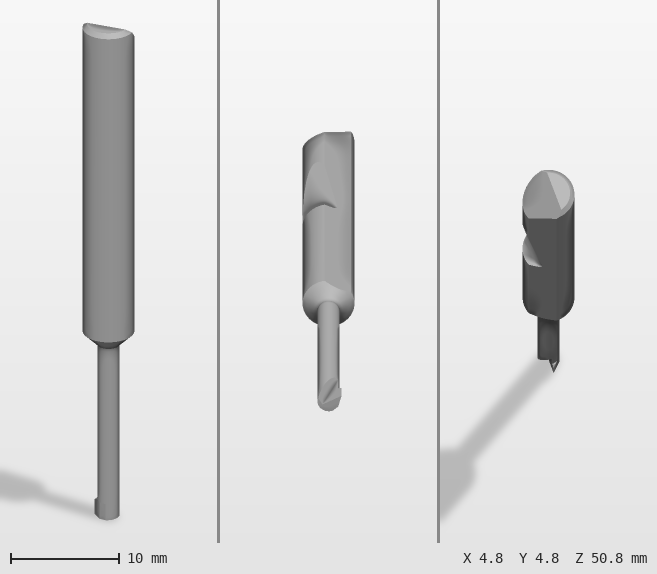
import cadquery as cq
import math

length = 50.8
shank_radius = 2.4
neck_radius = 1.0
neck_top = 17.8
cone_height = shank_radius - neck_radius
end_chamfer = 0.4

bevel_start_y = -0.55
flat_distance = 2.0
flat_angle = 144.5
notch_top = 42.55
notch_depth = 1.25
notch_length = 8.6
notch_corner_radius = 0.5

tip_reach = 1.35
tooth_height = 1.8
tooth_bevel = 0.25
relief_x = -0.55
heel_x = 0.1
gash_top = 3.4
gash_bottom_x = 0.7
end_clearance_angle = 4.0

clear = 10.15


def prism_along_x(points):
    """Solid with a YZ outline, spanning the whole width of the tool."""
    return cq.Workplane("YZ").polyline(points).close().extrude(clear, both=True)


def prism_along_z(points, height):
    return cq.Workplane("XY").polyline(points).close().extrude(height)


def neck_y(x):
    """Front (-Y) surface of the neck at a given X."""
    return -math.sqrt(neck_radius**2 - x**2)


def turned_body():
    profile = [
        (0, 0),
        (neck_radius, 0),
        (neck_radius, neck_top),
        (shank_radius, neck_top + cone_height),
        (shank_radius, length - end_chamfer),
        (shank_radius - end_chamfer, length),
        (0, length),
    ]
    return cq.Workplane("XZ").polyline(profile).close().revolve(360, (0, 0), (0, 1))


def end_bevel():
    """45 degree slope across the back of the shank end."""
    return prism_along_x([
        (bevel_start_y, length),
        (bevel_start_y + clear, length - clear),
        (bevel_start_y + clear, length),
    ])


def side_flat():
    """Flat along the shank and cone, facing -X and +Y."""
    block = cq.Workplane("XY").box(clear, 2 * clear, length - neck_top, centered=(False, True, False))
    block = block.translate((flat_distance, 0, neck_top))
    return block.rotate((0, 0, 0), (0, 0, 1), flat_angle)


def clamping_notch():
    """Sloping notch in the back, its lower wall square to its floor."""
    slope = math.asin(notch_depth / notch_length)
    floor_end_y = shank_radius - notch_depth
    floor_end_z = notch_top - notch_length * math.cos(slope)
    wall_end = (floor_end_y + clear * math.cos(slope), floor_end_z - clear * math.sin(slope))
    notch = prism_along_x([
        (shank_radius, notch_top),
        (floor_end_y, floor_end_z),
        wall_end,
        (wall_end[0], notch_top),
    ])
    corner = cq.NearestToPointSelector((0, floor_end_y, floor_end_z))
    return notch.edges("|X").edges(corner).fillet(notch_corner_radius)


def tooth():
    """Cutting tooth reaching out to -X, with its top corner bevelled."""
    block = prism_along_z(
        [(-tip_reach, 0), (relief_x, neck_y(relief_x)), (0, neck_y(relief_x)), (0, 0)],
        tooth_height,
    )
    bevel = (
        cq.Workplane("XZ")
        .polyline([
            (-tip_reach, tooth_height - tooth_bevel),
            (-tip_reach, tooth_height),
            (-tip_reach + tooth_bevel, tooth_height),
        ])
        .close()
        .extrude(clear, both=True)
    )
    return block.cut(bevel)


def tip_relief():
    """Clears the neck outside the tooth flank and the short heel flat beside it."""
    return prism_along_z(
        [
            (-tip_reach, 0),
            (relief_x, neck_y(relief_x)),
            (heel_x, neck_y(heel_x)),
            (heel_x, -clear),
            (-tip_reach, -clear),
        ],
        tooth_height,
    )


def chip_gash():
    """Gash with a sloping floor, behind the rake face on Y = 0."""
    return (
        cq.Workplane("XZ")
        .polyline([
            (-neck_radius, gash_top),
            (gash_bottom_x, 0),
            (-clear, 0),
            (-clear, gash_top),
        ])
        .close()
        .extrude(-clear)
    )


def end_clearance():
    """Bottom face rises away from the tooth point toward +X."""
    rise = clear * math.tan(math.radians(end_clearance_angle))
    return (
        cq.Workplane("XZ")
        .polyline([(-tip_reach, 0), (clear - tip_reach, rise), (clear - tip_reach, 0)])
        .close()
        .extrude(clear, both=True)
    )


result = (
    turned_body()
    .cut(end_bevel())
    .cut(side_flat())
    .cut(clamping_notch())
    .cut(tip_relief())
    .union(tooth())
    .cut(chip_gash())
    .cut(end_clearance())
)